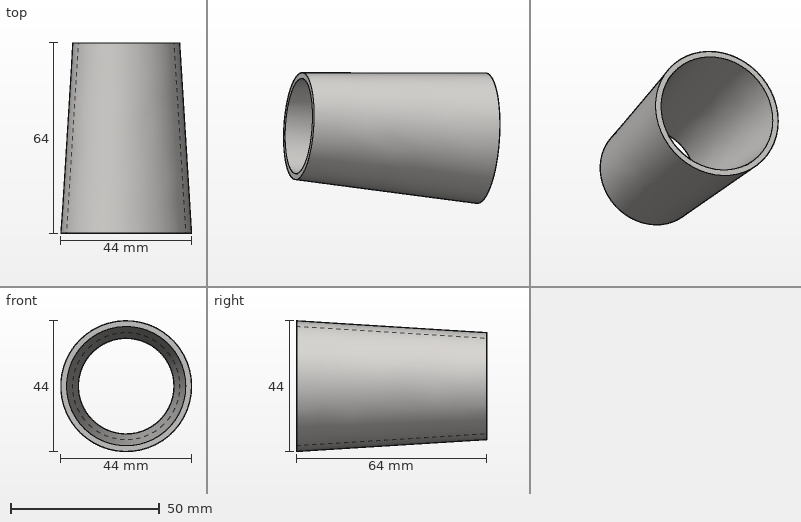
import cadquery as cq

length = 64.0
wide_diameter = 44.0
narrow_diameter = 36.0
wall = 2.0

wide_radius = wide_diameter / 2
narrow_radius = narrow_diameter / 2

wall_section = [
    (wide_radius - wall, 0),
    (wide_radius, 0),
    (narrow_radius, length),
    (narrow_radius - wall, length),
]

result = (
    cq.Workplane("XY")
    .polyline(wall_section)
    .close()
    .revolve(360, (0, 0, 0), (0, 1, 0))
)